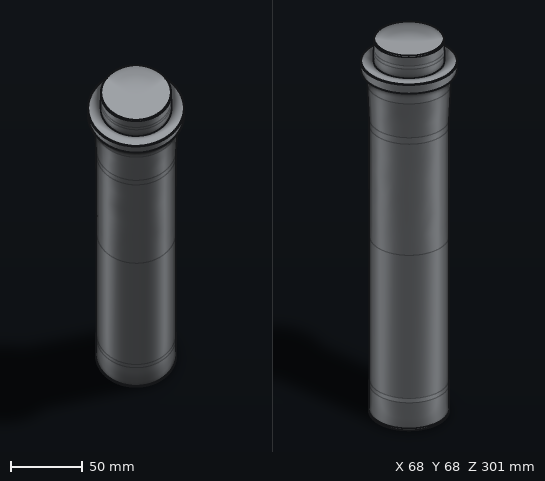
import cadquery as cq

total_length = 300.98
flange_top = 283.0
flange_bottom = 275.25
neck_bottom = 265.0
guide_top = 237.0
guide_bottom = 231.8
taper_bottom = 142.0
tail_cone_top = 26.5
tail_cone_bottom = 23.2
spigot_cone_top = 293.0
spigot_cone_bottom = 290.5

spigot_tip_diameter = 49.7
spigot_diameter = 49.99
flange_diameter = 68.0
neck_diameter = 59.0
guide_diameter = 56.55
waist_diameter = 55.97

spigot_chamfer_width = 0.5
spigot_chamfer_height = 1.25
flange_chamfer = 0.5

ring_section_radius = 1.75
ring_bulge = 0.125
ring_center_radius = guide_diameter / 2 + ring_bulge - ring_section_radius


def revolved(profile):
    """Solid of revolution about Z from (diameter, height) points listed bottom to top."""
    outline = [(0, profile[0][1])]
    outline += [(diameter / 2, height) for diameter, height in profile]
    outline += [(0, profile[-1][1])]
    return cq.Workplane("XZ").polyline(outline).close().revolve(360, (0, 0, 0), (0, 1, 0))


def make_ring():
    """Round-section seal ring under the end of the plunger, with its lowest point at Z = 0."""
    return cq.Workplane("XY").add(
        cq.Solid.makeTorus(ring_center_radius, ring_section_radius, cq.Vector(0, 0, ring_section_radius))
    )


def make_plunger(ring):
    """Turned plunger with a flared neck, flange and spigot; its end is recessed to seat the ring."""
    shaft = revolved([
        (guide_diameter, ring_section_radius),
        (guide_diameter, tail_cone_bottom),
        (waist_diameter, tail_cone_top),
        (waist_diameter, taper_bottom),
        (guide_diameter, guide_bottom),
        (guide_diameter, guide_top),
        (neck_diameter, neck_bottom),
        (neck_diameter, flange_bottom),
    ])
    flange = cq.Workplane("XY").workplane(offset=flange_bottom).circle(flange_diameter / 2)
    flange = flange.extrude(flange_top - flange_bottom).edges().chamfer(flange_chamfer)
    spigot = revolved([
        (spigot_diameter, flange_top),
        (spigot_diameter, spigot_cone_bottom),
        (spigot_tip_diameter, spigot_cone_top),
        (spigot_tip_diameter, total_length - spigot_chamfer_height),
        (spigot_tip_diameter - 2 * spigot_chamfer_width, total_length),
    ])
    return shaft.union(flange).union(spigot).cut(ring)


ring = make_ring()
plunger = make_plunger(ring)

result = cq.Compound.makeCompound([plunger.val(), ring.val()])